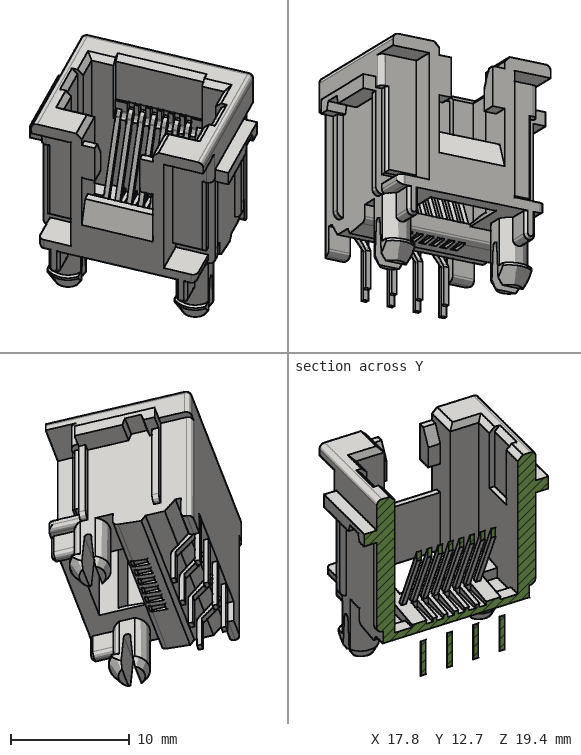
import cadquery as cq
import math


HEIGHT = 19.4
DEPTH = 12.7
RIM_HALF = 7.7
WALL_HALF = 7.1
TAB_HALF = 8.9
BODY_BOTTOM = 5.9
OVERLAP = 0.2
COLLAR_BOTTOM = 16.4
FOOT_BOTTOM = 3.38
EDGE_RADIUS = 0.5
SMALL_RADIUS = 0.25
LEAD_IN = 0.5

PANEL_HALF = 4.17
SHOULDER_Y = 2.91
BLOCK_Y = 2.15
BLOCK_BOTTOM = 7.66
UPPER_BLOCK_BOTTOM = 15.42
LIP_BOTTOM = 18.25
FLANGE_TOP = 6.83

RIDGE_WIDTH = 0.6
TAB_REAR_Y = 9.95
TAB_BOTTOM = 15.11
TAB_NOTCH = [(7.12, TAB_BOTTOM), (7.35, 15.87), (8.77, 15.87), (8.98, TAB_BOTTOM)]

CAVITY_HALF = 5.94
CAVITY_FRONT_Y = 3.12
CAVITY_REAR_Y = 9.95
FLOOR_FRONT_Z = 6.3
FLOOR_SLOPE = 6.0
FLOOR_BREAK_Y = 3.88
SIDE_NOTCH_FRONT_Y = 4.97
SIDE_NOTCH_REAR_Y = 7.88
SIDE_NOTCH_BOTTOM = 13.35
POCKET_INNER_X = 4.29
POCKET_FRONT_Y = 6.35
POCKET_STEP_Y = 8.65
POCKET_LOW_Z = 5.05
POCKET_HIGH_Z = 5.43

SLOT_HALF = 3.18
RAMP_DEPTH = 1.44
RAMP_BOTTOM = 9.45
RAMP_TOP = 11.74
RAMP_EDGE = (0.81, 11.68)
STOP_INNER_X = 2.02
STOP_BOTTOM = 14.65
STOP_CREST_DEPTH = 0.6
STOP_SLOPE_BOTTOM = 16.68

BASE_FRONT_Y = 5.75
BASE_FRONT_Z = 4.4
BASE_RADIUS = 0.5
BASE_KEEL = (8.25, 4.11)
BASE_STEP_FRONT_Y = 8.61
BASE_STEP_REAR_Y = 10.3
BASE_STEP_Z = 4.68
BASE_REAR_Y = 11.25
FOOT_INNER_X = 5.0
FOOT_FRONT_Y = 11.72

CONTACT_COUNT = 8
CONTACT_PITCH = 1.03
GROOVE_WIDTH = 0.6
WIRE_WIDTH = 0.45
WIRE_THICKNESS = 0.39
WIRE_SLOPE = 66.5
WIRE_TOP = 14.06
WIRE_TIP_Y = 6.7
WIRE_CURVE = (10.2, 13.77)
WIRE_BEND = (9.97, 13.29)
CHANNEL_HALF = 3.98
CHANNEL_REAR_Y = 10.53
GROOVE_REAR_Y = 10.77
COMB_FACE_Y = 10.34
COMB_TOP = 14.75
COMB_STEP_Z = 13.77
COMB_CURVE = (10.22, 13.39)
COMB_FOOT_Z = 13.11
FLOOR_GROOVE_FRONT_Y = 7.18
FLOOR_GROOVE_Z = 5.34
BASE_MOUTH = [(5.92, 4.33), (7.41, 4.2), (7.95, 4.58), (6.2, 4.58)]

PIN_SPAN = 8.89
PIN_PITCH = PIN_SPAN / (CONTACT_COUNT - 1)
PIN_WIDTH = 0.5
PIN_BOTTOM = 0.17
REAR_PIN_Y = (12.25, 12.65)
FRONT_PIN_Y = (9.72, 10.13)
FRONT_PIN_BEND_Z = 3.57
FRONT_PIN_EASE = (0.15, 0.27)
FRONT_PIN_ROOT_Y = (11.65, 11.83)
FRONT_PIN_ROOT_Z = 5.5

PEG_X = 5.7
PEG_Y = 3.53
PEG_RADIUS = 1.55
PEG_HALF_WIDTH = WALL_HALF - PEG_X
PEG_TIP_RADIUS = 1.13
PEG_TAPER_TOP = 0.83
BARB_RADIUS = 1.94
BARB_BOTTOM = 1.45
BARB_TOP = 1.69
SPLIT_HALF_FOOT = 0.56
SPLIT_HALF_HEAD = 0.3
SPLIT_HEAD_Z = 3.72
SPLIT_TOP = 3.98
RIB_HALF_WIDTH = 0.5


def box(x0, x1, y0, y1, z0, z1):
    """Block between two opposite corners."""
    return cq.Workplane("XY").box(x1 - x0, y1 - y0, z1 - z0, centered=False).translate((x0, y0, z0))


def wide_box(half, y0, y1, z0, z1):
    """Block centred on X = 0."""
    return box(-half, half, y0, y1, z0, z1)


def side_profile(points, x0, x1):
    """Outline of (Y, Z) points carried from x0 to x1."""
    return cq.Workplane("YZ").polyline(points).close().extrude(x1 - x0).translate((x0, 0, 0))


def front_profile(points, y0, y1):
    """Outline of (X, Z) points carried from y0 to y1."""
    return cq.Workplane("XZ").polyline(points).close().extrude(y0 - y1).translate((0, y0, 0))


def both_sides(shape):
    """The shape together with its mirror image across X = 0."""
    return shape.union(shape.mirror("YZ"))


def spread(count, pitch):
    """Evenly spaced X positions centred on zero."""
    return [(i - (count - 1) / 2) * pitch for i in range(count)]


def outer_shell():
    """Solid housing before the cavity is cut."""
    collar = (
        wide_box(RIM_HALF, BLOCK_Y, DEPTH, COLLAR_BOTTOM, HEIGHT)
        .union(wide_box(RIM_HALF, BLOCK_Y, SHOULDER_Y + RIDGE_WIDTH, UPPER_BLOCK_BOTTOM, HEIGHT))
        .edges("|Z").edges("<Y or >Y").fillet(EDGE_RADIUS)
    )
    lip = wide_box(RIM_HALF, 0, DEPTH / 2, LIP_BOTTOM, HEIGHT)
    collar = collar.union(lip).faces(">Z").edges("not <Y").fillet(EDGE_RADIUS)

    walls = wide_box(WALL_HALF, SHOULDER_Y, DEPTH, BODY_BOTTOM, COLLAR_BOTTOM)
    walls = walls.edges("|Z and >Y").fillet(EDGE_RADIUS)
    block = wide_box(WALL_HALF, BLOCK_Y, SHOULDER_Y, BLOCK_BOTTOM, LIP_BOTTOM)
    block = block.faces("<Y").edges("not >Z").chamfer(SMALL_RADIUS)
    panel = wide_box(PANEL_HALF, 0, SHOULDER_Y, BODY_BOTTOM, LIP_BOTTOM)
    return collar.union(walls).union(block).union(panel)


def side_ridge(y0, y1):
    """Upright ridge on the +X wall with a rounded lower corner."""
    ridge = box(WALL_HALF - RIDGE_WIDTH, RIM_HALF, y0, y1, BODY_BOTTOM, COLLAR_BOTTOM)
    return ridge.edges("|Y and >X and <Z").fillet(RIDGE_WIDTH)


def side_tab():
    """Tab on the +X side with a tapered notch in its underside."""
    tab = box(WALL_HALF, TAB_HALF, SHOULDER_Y, TAB_REAR_Y, TAB_BOTTOM, COLLAR_BOTTOM)
    return tab.cut(side_profile(TAB_NOTCH, WALL_HALF, TAB_HALF))


def flange():
    """Corner flange at the foot of the front panel."""
    plate = box(PANEL_HALF, WALL_HALF, 0, SHOULDER_Y, BODY_BOTTOM, FLANGE_TOP)
    rounded_foot = plate.edges("|Y and >X and <Z").fillet(EDGE_RADIUS)
    rounded_corner = plate.edges("|Z and >X and <Y").fillet(EDGE_RADIUS)
    return rounded_foot.intersect(rounded_corner)


def rear_foot():
    """Foot below the rear corner, rounded on its inner lower edge."""
    foot = box(FOOT_INNER_X, WALL_HALF, FOOT_FRONT_Y, DEPTH, FOOT_BOTTOM, BODY_BOTTOM + EDGE_RADIUS)
    foot = foot.edges("|X and <Y and <Z").fillet(EDGE_RADIUS)
    return foot.edges("|Z and >X and >Y").fillet(EDGE_RADIUS)


def base_block():
    """Full-width block hanging below the cavity floor."""
    top = BODY_BOTTOM + OVERLAP
    outline = [
        (BASE_FRONT_Y, top), (BASE_FRONT_Y, BASE_FRONT_Z), BASE_KEEL, (BASE_STEP_FRONT_Y, BASE_STEP_Z),
        (BASE_STEP_REAR_Y, BASE_STEP_Z), (BASE_REAR_Y, BODY_BOTTOM), (BASE_REAR_Y, top),
    ]
    block = side_profile(outline, -WALL_HALF, WALL_HALF)
    front_edge = cq.selectors.NearestToPointSelector((0, BASE_FRONT_Y, BASE_FRONT_Z))
    return block.edges(front_edge).fillet(BASE_RADIUS)


def plug_cavity():
    """Space for the plug, open at the top with a chamfered lead-in."""
    drop = (CAVITY_REAR_Y - FLOOR_BREAK_Y) * math.tan(math.radians(FLOOR_SLOPE))
    outline = [
        (CAVITY_FRONT_Y, HEIGHT), (CAVITY_FRONT_Y, FLOOR_FRONT_Z), (FLOOR_BREAK_Y, FLOOR_FRONT_Z),
        (CAVITY_REAR_Y, FLOOR_FRONT_Z - drop), (CAVITY_REAR_Y, HEIGHT),
    ]
    cavity = side_profile(outline, -CAVITY_HALF, CAVITY_HALF)
    length = CAVITY_REAR_Y - CAVITY_FRONT_Y
    lead_in = (
        cq.Workplane("XY", origin=(0, CAVITY_FRONT_Y + length / 2, HEIGHT))
        .rect(2 * (CAVITY_HALF + LEAD_IN), length + 2 * LEAD_IN)
        .extrude(-LEAD_IN, taper=45)
    )
    return cavity.union(lead_in)


def side_notch():
    """Shallow recess in the +X cavity wall with its own lead-in."""
    inner = CAVITY_HALF - OVERLAP
    outer = CAVITY_HALF + LEAD_IN
    outline = [
        (inner, SIDE_NOTCH_BOTTOM), (outer, SIDE_NOTCH_BOTTOM), (outer, HEIGHT - LEAD_IN),
        (outer + LEAD_IN, HEIGHT), (inner, HEIGHT),
    ]
    return front_profile(outline, SIDE_NOTCH_FRONT_Y, SIDE_NOTCH_REAR_Y)


def contact_channel():
    """Recess in the rear wall above the contact comb."""
    foot_front = CAVITY_REAR_Y - OVERLAP
    outline = (
        cq.Workplane("YZ", origin=(-CHANNEL_HALF, 0, 0))
        .moveTo(foot_front, COMB_FOOT_Z)
        .lineTo(CAVITY_REAR_Y, COMB_FOOT_Z)
        .threePointArc(COMB_CURVE, (COMB_FACE_Y, COMB_STEP_Z))
        .lineTo(COMB_FACE_Y, COMB_TOP)
        .lineTo(CHANNEL_REAR_Y, COMB_TOP)
        .lineTo(CHANNEL_REAR_Y, HEIGHT - LEAD_IN)
        .lineTo(CHANNEL_REAR_Y + LEAD_IN, HEIGHT)
        .lineTo(foot_front, HEIGHT)
        .close()
    )
    return outline.extrude(2 * CHANNEL_HALF)


def latch_slot():
    """Slot through the front panel with a chamfered top edge."""
    outline = [
        (-SLOT_HALF, RAMP_BOTTOM), (SLOT_HALF, RAMP_BOTTOM), (SLOT_HALF, HEIGHT - LEAD_IN),
        (SLOT_HALF + LEAD_IN, HEIGHT), (-SLOT_HALF - LEAD_IN, HEIGHT), (-SLOT_HALF, HEIGHT - LEAD_IN),
    ]
    return front_profile(outline, 0, CAVITY_FRONT_Y)


def latch_opening():
    """Opening behind the ramp, passing out through the underside."""
    return wide_box(SLOT_HALF, RAMP_DEPTH, BASE_FRONT_Y, 0, RAMP_BOTTOM + OVERLAP)


def latch_ramp():
    """Sloped guide at the bottom of the slot."""
    outline = [(0, RAMP_BOTTOM), RAMP_EDGE, (RAMP_DEPTH, RAMP_TOP), (RAMP_DEPTH, RAMP_BOTTOM)]
    return side_profile(outline, -SLOT_HALF, SLOT_HALF)


def latch_stop():
    """Catch on the +X side of the slot."""
    outline = [
        (0, STOP_BOTTOM), (0, LIP_BOTTOM), (STOP_CREST_DEPTH, LIP_BOTTOM),
        (RAMP_DEPTH, STOP_SLOPE_BOTTOM), (RAMP_DEPTH, STOP_BOTTOM),
    ]
    return side_profile(outline, STOP_INNER_X, SLOT_HALF)


def corner_pocket():
    """Stepped pocket sunk into the rear corner of the cavity floor."""
    outline = [
        (POCKET_FRONT_Y, FLOOR_FRONT_Z), (POCKET_FRONT_Y, POCKET_LOW_Z), (POCKET_STEP_Y, POCKET_LOW_Z),
        (POCKET_STEP_Y, POCKET_HIGH_Z), (CAVITY_REAR_Y, POCKET_HIGH_Z), (CAVITY_REAR_Y, FLOOR_FRONT_Z),
    ]
    return side_profile(outline, POCKET_INNER_X, CAVITY_HALF)


def contact_groove(x):
    """Comb groove, floor groove and small mouth under the base for one contact."""
    x0 = x - GROOVE_WIDTH / 2
    x1 = x + GROOVE_WIDTH / 2
    comb_groove = box(x0, x1, CAVITY_REAR_Y - OVERLAP, GROOVE_REAR_Y, COMB_FOOT_Z - OVERLAP, COMB_TOP)
    floor_groove = box(x0, x1, FLOOR_GROOVE_FRONT_Y, CAVITY_REAR_Y, FLOOR_GROOVE_Z, FLOOR_FRONT_Z)
    mouth = side_profile(BASE_MOUTH, x0, x1)
    return comb_groove.union(floor_groove).union(mouth)


def contact_wire(x):
    """Spring wire bending out of the comb and sloping down into the cavity floor."""
    bend_y, bend_z = WIRE_BEND
    tip_z = bend_z - (bend_y - WIRE_TIP_Y) * math.tan(math.radians(WIRE_SLOPE))
    back = WIRE_THICKNESS / math.sin(math.radians(WIRE_SLOPE))
    outline = (
        cq.Workplane("YZ", origin=(x - WIRE_WIDTH / 2, 0, 0))
        .moveTo(GROOVE_REAR_Y + OVERLAP, WIRE_TOP)
        .lineTo(CHANNEL_REAR_Y, WIRE_TOP - 0.04)
        .threePointArc(WIRE_CURVE, WIRE_BEND)
        .lineTo(WIRE_TIP_Y, tip_z)
        .lineTo(WIRE_TIP_Y + back, tip_z)
        .lineTo(bend_y + back, bend_z)
        .lineTo(GROOVE_REAR_Y + OVERLAP, bend_z + WIRE_THICKNESS)
        .close()
    )
    return outline.extrude(WIRE_WIDTH)


def rear_pin(x):
    """Straight solder pin."""
    half = PIN_WIDTH / 2
    return box(x - half, x + half, *REAR_PIN_Y, PIN_BOTTOM, BODY_BOTTOM + OVERLAP)


def front_pin(x):
    """Solder pin cranked forward from the rear of the base."""
    top = BODY_BOTTOM + OVERLAP
    front, rear = FRONT_PIN_Y
    root_front, root_rear = FRONT_PIN_ROOT_Y
    ease_y, ease_z = FRONT_PIN_EASE
    outline = [
        (front, PIN_BOTTOM), (rear, PIN_BOTTOM), (rear, FRONT_PIN_BEND_Z), (root_rear, FRONT_PIN_ROOT_Z),
        (root_rear, top), (root_front, top), (front + ease_y, FRONT_PIN_BEND_Z + ease_z),
        (front, FRONT_PIN_BEND_Z),
    ]
    return side_profile(outline, x - PIN_WIDTH / 2, x + PIN_WIDTH / 2)


def peg():
    """Split board peg with a barb on its front leg."""
    stem_outline = [
        (0, 0), (PEG_TIP_RADIUS, 0), (PEG_RADIUS, PEG_TAPER_TOP), (PEG_RADIUS, BODY_BOTTOM), (0, BODY_BOTTOM),
    ]
    barb_outline = [
        (0, 0), (PEG_TIP_RADIUS, 0), (BARB_RADIUS, BARB_BOTTOM), (BARB_RADIUS, BARB_TOP), (0, BARB_TOP),
    ]
    stem = cq.Workplane("XZ").polyline(stem_outline).close().revolve(360, (0, 0), (0, 1))
    barb = cq.Workplane("XZ").polyline(barb_outline).close().revolve(360, (0, 0), (0, 1))
    barb = barb.intersect(wide_box(2 * PEG_RADIUS, -2 * PEG_RADIUS, 0, 0, BODY_BOTTOM))
    flats = wide_box(PEG_HALF_WIDTH, -2 * PEG_RADIUS, 2 * PEG_RADIUS, 0, BODY_BOTTOM)
    split = (
        cq.Workplane("YZ")
        .moveTo(-SPLIT_HALF_FOOT, 0)
        .lineTo(-SPLIT_HALF_HEAD, SPLIT_HEAD_Z)
        .threePointArc((0, SPLIT_TOP), (SPLIT_HALF_HEAD, SPLIT_HEAD_Z))
        .lineTo(SPLIT_HALF_FOOT, 0)
        .close()
        .extrude(PEG_HALF_WIDTH, both=True)
    )
    return stem.union(barb).intersect(flats).cut(split).translate((PEG_X, PEG_Y, 0))


def peg_rib():
    """Round-ended rib joining the peg to the front edge."""
    half = RIB_HALF_WIDTH
    rib = box(PEG_X - half, PEG_X + half, 0, PEG_Y - PEG_HALF_WIDTH + OVERLAP, FOOT_BOTTOM, BODY_BOTTOM)
    rib = rib.edges("|Y and <Z").fillet(half - 0.002)
    return rib.faces("<Y").edges("not >Z").chamfer(SMALL_RADIUS)


body = outer_shell().union(base_block())
for part in (side_ridge(SHOULDER_Y, SHOULDER_Y + RIDGE_WIDTH),
             side_ridge(TAB_REAR_Y - RIDGE_WIDTH, TAB_REAR_Y),
             side_tab(), flange(), rear_foot()):
    body = body.union(both_sides(part))

for space in (plug_cavity(), both_sides(side_notch()), both_sides(corner_pocket()),
              contact_channel(), latch_slot(), latch_opening()):
    body = body.cut(space)
body = body.union(latch_ramp()).union(both_sides(latch_stop()))

contact_places = spread(CONTACT_COUNT, CONTACT_PITCH)
for x in contact_places[1:-1]:
    body = body.cut(contact_groove(x))
for x in contact_places:
    body = body.union(contact_wire(x))

for i, x in enumerate(spread(CONTACT_COUNT, PIN_PITCH)):
    body = body.union(front_pin(x) if i % 2 == 0 else rear_pin(x))
for part in (peg(), peg_rib()):
    body = body.union(both_sides(part))

result = body